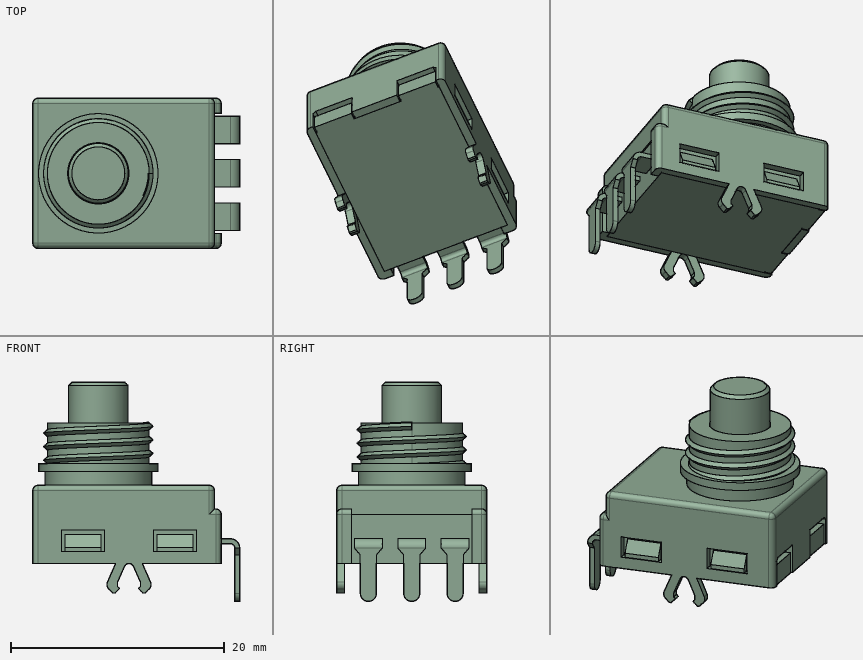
import cadquery as cq
import math


WALL = 0.76
CASE_LEFT = -6.14
CASE_LENGTH = 17.02
CASE_WIDTH = 14.07
CASE_HEIGHT = 7.34
CASE_RADIUS = 0.51
CASE_RIGHT = CASE_LEFT + CASE_LENGTH
CEILING = CASE_HEIGHT - WALL
INNER_LEFT = CASE_LEFT + WALL
INNER_WIDTH = CASE_WIDTH - 2 * WALL

WING_RIGHT = 11.51
WING_HEIGHT = 5.12
WING_REACH = 1.42
WING_BOX_START = 0.0
END_WALL_BOTTOM = WING_HEIGHT - CASE_RADIUS
WING_INNER_FACE = WING_RIGHT - WALL

SIDE_CENTRE = 2.87
WINDOW_OFFSET = 4.31
WINDOW_LENGTH = 4.03
WINDOW_BOTTOM = 1.12
WINDOW_HEIGHT = 2.01

SLOT_INNER = 2.28
SLOT_OUTER = INNER_WIDTH / 2
SLOT_HEIGHT = 2.74
SLOT_CHAMFER = 0.3

CLIP_SPLAY = math.radians(23.8)
CLIP_DEPTH = 2.76
CLIP_CROTCH_RADIUS = 0.91 / 2
CLIP_HEEL_RADIUS = 1.17 / 2
CLIP_HEEL_X = 1.485
CLIP_HEEL_Z = -1.95
CLIP_INNER_X = 1.06
CLIP_TIP_X = 0.88
CLIP_TIP_Z = -2.32
CLIP_ROOT_HEIGHT = WALL

BUSHING_NECK_DIAMETER = 10.01
FLANGE_DIAMETER = 11.18
FLANGE_BOTTOM = 8.61
FLANGE_TOP = 9.37
THREAD_ROOT_DIAMETER = 9.53
THREAD_LENGTH = 3.81
BUSHING_TOP = FLANGE_TOP + THREAD_LENGTH
THREAD_PITCH = 1.27
THREAD_HEIGHT = 0.355
THREAD_HALF_WIDTH = 0.33
THREAD_OVERLAP = 0.1
BUSHING_BORE = 5.74

PLUNGER_DIAMETER = 5.59
PLUNGER_TOP = 16.98
PLUNGER_CHAMFER = 0.32

TAB_RECESS = 0.12
TAB_LENGTH = 3.35
TAB_FACE_TOP = 1.52
TAB_TOP = 2.73
FOOT_HEIGHT = 2.0
FOOT_CLEARANCE = 0.12

TERMINAL_PITCH = 4.06
TERMINAL_ROOT_WIDTH = 2.6
TERMINAL_TIP_WIDTH = 1.52
TERMINAL_THICKNESS = 0.48
TERMINAL_TOP = 2.34
TERMINAL_BEND_RADIUS = 1.78 / 2
TERMINAL_RIGHT = 13.24
TERMINAL_BOTTOM = -3.54
TAPER_TOP = TERMINAL_TOP - TERMINAL_BEND_RADIUS
TAPER_HEIGHT = 0.62


def block(x_min, x_max, width, z_min, z_max):
    """Box centred on the XZ plane."""
    box = cq.Workplane("XY").box(x_max - x_min, width, z_max - z_min, centered=(False, True, False))
    return box.translate((x_min, 0, z_min))


def clip_half():
    """One clip leg on the +X side of the crotch, as thick as the case wall."""
    cos_a = math.cos(CLIP_SPLAY)
    sin_a = math.sin(CLIP_SPLAY)
    diagonal = math.sqrt(0.5)

    def heel(direction_x, direction_z):
        return (CLIP_HEEL_X + CLIP_HEEL_RADIUS * direction_x, CLIP_HEEL_Z + CLIP_HEEL_RADIUS * direction_z)

    def crotch(direction_x, direction_z):
        return (CLIP_CROTCH_RADIUS * direction_x, CLIP_CROTCH_RADIUS * (direction_z - 1))

    crotch_end = crotch(cos_a, sin_a)
    crotch_middle_angle = (math.pi / 2 + CLIP_SPLAY) / 2
    heel_start = heel(cos_a, sin_a)
    heel_end = heel(diagonal, -diagonal)
    leg_top_x = heel_start[0] + heel_start[1] * math.tan(CLIP_SPLAY)
    bend_z = crotch_end[1] - (CLIP_INNER_X - crotch_end[0]) / math.tan(CLIP_SPLAY)
    toe_outer_x = heel_end[0] - (heel_end[1] + CLIP_DEPTH)
    toe_inner_x = CLIP_TIP_X + (CLIP_TIP_Z + CLIP_DEPTH)
    notch_z = CLIP_TIP_Z + (CLIP_INNER_X - CLIP_TIP_X)

    return (
        cq.Workplane("XZ")
        .moveTo(0, CLIP_ROOT_HEIGHT)
        .lineTo(leg_top_x, CLIP_ROOT_HEIGHT)
        .lineTo(leg_top_x, 0)
        .lineTo(*heel_start)
        .threePointArc(heel(1, 0), heel_end)
        .lineTo(toe_outer_x, -CLIP_DEPTH)
        .lineTo(toe_inner_x, -CLIP_DEPTH)
        .lineTo(CLIP_TIP_X, CLIP_TIP_Z)
        .lineTo(CLIP_INNER_X, notch_z)
        .lineTo(CLIP_INNER_X, bend_z)
        .lineTo(*crotch_end)
        .threePointArc(crotch(math.cos(crotch_middle_angle), math.sin(crotch_middle_angle)), (0, 0))
        .close()
        .extrude(WALL)
    )


def make_case():
    case = block(CASE_LEFT, CASE_RIGHT, CASE_WIDTH, 0, CASE_HEIGHT)
    case = case.edges("|Z or >Z").fillet(CASE_RADIUS)
    wings = block(WING_BOX_START, WING_RIGHT, CASE_WIDTH, 0, WING_HEIGHT)
    wings = wings.edges("(|Z and >X) or >Z").fillet(CASE_RADIUS)
    wing_gap = CASE_WIDTH - 2 * WING_REACH
    wings = wings.cut(block(CASE_RIGHT, WING_RIGHT, wing_gap, 0, WING_HEIGHT))
    case = case.union(wings)

    case = case.cut(block(INNER_LEFT, CASE_RIGHT - WALL, INNER_WIDTH, 0, CEILING))
    case = case.cut(block(INNER_LEFT, WING_INNER_FACE, INNER_WIDTH, 0, END_WALL_BOTTOM))
    case = case.cut(block(WING_INNER_FACE, WING_RIGHT, wing_gap, 0, END_WALL_BOTTOM))

    case = case.cut(cq.Workplane("XY").circle(BUSHING_NECK_DIAMETER / 2).extrude(CASE_HEIGHT))

    for side in (-1, 1):
        x_min = SIDE_CENTRE + side * WINDOW_OFFSET - WINDOW_LENGTH / 2
        window_top = WINDOW_BOTTOM + WINDOW_HEIGHT
        case = case.cut(block(x_min, x_min + WINDOW_LENGTH, CASE_WIDTH, WINDOW_BOTTOM, window_top))

    slot = (
        cq.Workplane("YZ", origin=(CASE_LEFT, 0, 0))
        .moveTo(SLOT_INNER, 0)
        .lineTo(SLOT_OUTER, 0)
        .lineTo(SLOT_OUTER, SLOT_HEIGHT - SLOT_CHAMFER)
        .lineTo(SLOT_OUTER - SLOT_CHAMFER, SLOT_HEIGHT)
        .lineTo(SLOT_INNER, SLOT_HEIGHT)
        .close()
        .extrude(WALL)
    )
    case = case.cut(slot).cut(slot.mirror("XZ"))

    leg = clip_half()
    clip = leg.union(leg.mirror("YZ"))
    for y_max in (-INNER_WIDTH / 2, CASE_WIDTH / 2):
        case = case.union(clip.translate((SIDE_CENTRE, y_max, 0)))
    return case


def thread_ridge():
    """Helical V ridge whose upper end meets the top of the bushing."""
    root_radius = THREAD_ROOT_DIAMETER / 2
    start_z = BUSHING_TOP - THREAD_HALF_WIDTH - THREAD_LENGTH
    buried_half_width = THREAD_HALF_WIDTH * (1 + THREAD_OVERLAP / THREAD_HEIGHT)
    path = cq.Wire.makeHelix(THREAD_PITCH, THREAD_LENGTH, root_radius).translate(cq.Vector(0, 0, start_z))
    return (
        cq.Workplane("XZ")
        .moveTo(root_radius - THREAD_OVERLAP, start_z - buried_half_width)
        .lineTo(root_radius + THREAD_HEIGHT, start_z)
        .lineTo(root_radius - THREAD_OVERLAP, start_z + buried_half_width)
        .close()
        .sweep(cq.Workplane(path), isFrenet=True)
    )


def make_bushing():
    def disc(diameter, z_min, z_max):
        return cq.Workplane("XY", origin=(0, 0, z_min)).circle(diameter / 2).extrude(z_max - z_min)

    bushing = disc(THREAD_ROOT_DIAMETER, FLANGE_BOTTOM, BUSHING_TOP).union(thread_ridge())
    bushing = bushing.union(disc(FLANGE_DIAMETER, FLANGE_BOTTOM, FLANGE_TOP))
    bushing = bushing.union(disc(BUSHING_NECK_DIAMETER, CEILING, FLANGE_BOTTOM))
    return bushing.cut(disc(BUSHING_BORE, CEILING, BUSHING_TOP))


def make_plunger():
    plunger = cq.Workplane("XY", origin=(0, 0, CEILING)).circle(PLUNGER_DIAMETER / 2)
    return plunger.extrude(PLUNGER_TOP - CEILING).faces(">Z").chamfer(PLUNGER_CHAMFER)


def latch_tab():
    """Wedge on the -Y side of the base, centred on X = 0."""
    inner_y = -INNER_WIDTH / 2
    face_y = -CASE_WIDTH / 2 + TAB_RECESS
    return (
        cq.Workplane("YZ", origin=(-TAB_LENGTH / 2, 0, 0))
        .moveTo(inner_y, WINDOW_BOTTOM)
        .lineTo(face_y, WINDOW_BOTTOM)
        .lineTo(face_y, TAB_FACE_TOP)
        .lineTo(inner_y, TAB_TOP)
        .close()
        .extrude(TAB_LENGTH)
    )


def terminal():
    """L-shaped terminal whose lower leg tapers to a narrow round-ended pin."""
    inner_radius = TERMINAL_BEND_RADIUS - TERMINAL_THICKNESS
    bend_x = TERMINAL_RIGHT - TERMINAL_BEND_RADIUS
    arc_part = math.sqrt(0.5)
    strip = (
        cq.Workplane("XZ")
        .moveTo(WING_INNER_FACE, TERMINAL_TOP)
        .lineTo(bend_x, TERMINAL_TOP)
        .threePointArc(
            (bend_x + TERMINAL_BEND_RADIUS * arc_part, TAPER_TOP + TERMINAL_BEND_RADIUS * arc_part),
            (TERMINAL_RIGHT, TAPER_TOP),
        )
        .lineTo(TERMINAL_RIGHT, TERMINAL_BOTTOM)
        .lineTo(TERMINAL_RIGHT - TERMINAL_THICKNESS, TERMINAL_BOTTOM)
        .lineTo(TERMINAL_RIGHT - TERMINAL_THICKNESS, TAPER_TOP)
        .threePointArc(
            (bend_x + inner_radius * arc_part, TAPER_TOP + inner_radius * arc_part),
            (bend_x, TERMINAL_TOP - TERMINAL_THICKNESS),
        )
        .lineTo(WING_INNER_FACE, TERMINAL_TOP - TERMINAL_THICKNESS)
        .close()
        .extrude(TERMINAL_ROOT_WIDTH / 2, both=True)
    )
    root = TERMINAL_ROOT_WIDTH / 2
    tip = TERMINAL_TIP_WIDTH / 2
    front_outline = (
        cq.Workplane("YZ", origin=(WING_INNER_FACE, 0, 0))
        .moveTo(-root, TERMINAL_TOP)
        .lineTo(root, TERMINAL_TOP)
        .lineTo(root, TAPER_TOP)
        .lineTo(tip, TAPER_TOP - TAPER_HEIGHT)
        .lineTo(tip, TERMINAL_BOTTOM + tip)
        .threePointArc((0, TERMINAL_BOTTOM), (-tip, TERMINAL_BOTTOM + tip))
        .lineTo(-tip, TAPER_TOP - TAPER_HEIGHT)
        .lineTo(-root, TAPER_TOP)
        .close()
        .extrude(TERMINAL_RIGHT - WING_INNER_FACE)
    )
    return strip.intersect(front_outline)


def make_base():
    base = block(INNER_LEFT, CASE_RIGHT - WALL, INNER_WIDTH, 0, CEILING)
    base = base.union(block(INNER_LEFT, WING_INNER_FACE, INNER_WIDTH, 0, END_WALL_BOTTOM))

    for side in (-1, 1):
        tab = latch_tab().translate((SIDE_CENTRE + side * WINDOW_OFFSET, 0, 0))
        base = base.union(tab).union(tab.mirror("XZ"))

    foot_width = SLOT_OUTER - SLOT_INNER - 2 * FOOT_CLEARANCE
    foot_y = (SLOT_OUTER + SLOT_INNER) / 2
    foot = block(CASE_LEFT + TAB_RECESS, INNER_LEFT, foot_width, 0, FOOT_HEIGHT)
    for side in (-1, 1):
        base = base.union(foot.translate((0, side * foot_y, 0)))

    for position in (-1, 0, 1):
        base = base.union(terminal().translate((0, position * TERMINAL_PITCH, 0)))
    return base


case = make_case()
bushing = make_bushing()
plunger = make_plunger()
base = make_base()

bodies = [case, bushing, plunger, base]
result = cq.Compound.makeCompound([body.solids().val() for body in bodies])